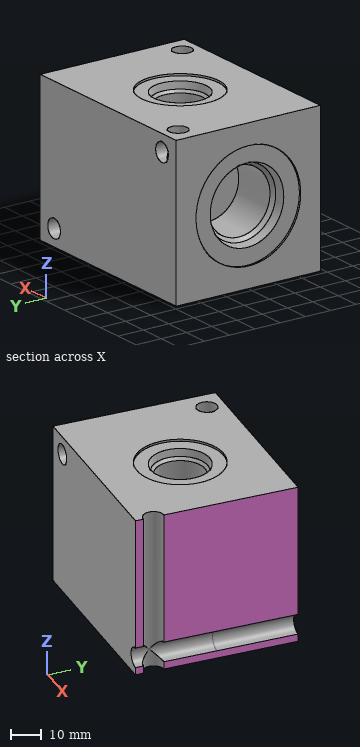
import cadquery as cq
import math

LENGTH = 76.2
WIDTH = 57.15
HEIGHT = 57.15

SPOTFACE_DEPTH = 0.8
SEAT_TAPER_ANGLE = 15
SHOULDER_ANGLE = 45

END_SPOTFACE_DIAMETER = 41.45
END_MOUTH_DIAMETER = 29.1
END_SEAT_DIAMETER = 27.35
END_BORE_DIAMETER = 24.7
END_BORE_DEPTH = 22.85

TOP_SPOTFACE_DIAMETER = 30.25
TOP_MOUTH_DIAMETER = 20.65
TOP_SEAT_DIAMETER = 19.3
TOP_BORE_DIAMETER = 17.3
TOP_BORE_DEPTH = 15.25

HOLE_DIAMETER = 7.1
HOLE_END_INSET = 7.9
HOLE_SIDE_INSET = 6.4


def port_cutter(spotface_diameter, mouth_diameter, seat_diameter, bore_diameter, bore_depth):
    """Solid to remove for a blind port opening at Z = 0 and running down -Z."""
    spotface_radius = spotface_diameter / 2
    mouth_radius = mouth_diameter / 2
    seat_radius = seat_diameter / 2
    bore_radius = bore_diameter / 2
    seat_length = (mouth_radius - seat_radius) / math.tan(math.radians(SEAT_TAPER_ANGLE))
    shoulder_length = (seat_radius - bore_radius) / math.tan(math.radians(SHOULDER_ANGLE))
    seat_depth = SPOTFACE_DEPTH + seat_length
    shoulder_depth = seat_depth + shoulder_length
    return (
        cq.Workplane("XZ")
        .moveTo(0, 0)
        .lineTo(spotface_radius, 0)
        .lineTo(spotface_radius, -SPOTFACE_DEPTH)
        .lineTo(mouth_radius, -SPOTFACE_DEPTH)
        .lineTo(seat_radius, -seat_depth)
        .lineTo(bore_radius, -shoulder_depth)
        .lineTo(bore_radius, -bore_depth)
        .lineTo(0, -bore_depth)
        .close()
        .revolve(360, (0, 0, 0), (0, 1, 0))
    )


def corner_holes(plane, face_height, through_length):
    """Two through holes in the upper left and lower right corners of a face."""
    hole_x = LENGTH / 2 - HOLE_END_INSET
    hole_y = face_height / 2 - HOLE_SIDE_INSET
    return (
        cq.Workplane(plane)
        .pushPoints([(-hole_x, hole_y), (hole_x, -hole_y)])
        .circle(HOLE_DIAMETER / 2)
        .extrude(through_length / 2, both=True)
    )


block = cq.Workplane("XY").box(LENGTH, WIDTH, HEIGHT)

end_port = (
    port_cutter(
        END_SPOTFACE_DIAMETER, END_MOUTH_DIAMETER, END_SEAT_DIAMETER, END_BORE_DIAMETER, END_BORE_DEPTH
    )
    .rotate((0, 0, 0), (0, 1, 0), -90)
    .translate((-LENGTH / 2, 0, 0))
)
top_port = port_cutter(
    TOP_SPOTFACE_DIAMETER, TOP_MOUTH_DIAMETER, TOP_SEAT_DIAMETER, TOP_BORE_DIAMETER, TOP_BORE_DEPTH
).translate((0, 0, HEIGHT / 2))

result = (
    block.cut(end_port)
    .cut(top_port)
    .cut(corner_holes("XY", WIDTH, HEIGHT))
    .cut(corner_holes("XZ", HEIGHT, WIDTH))
)